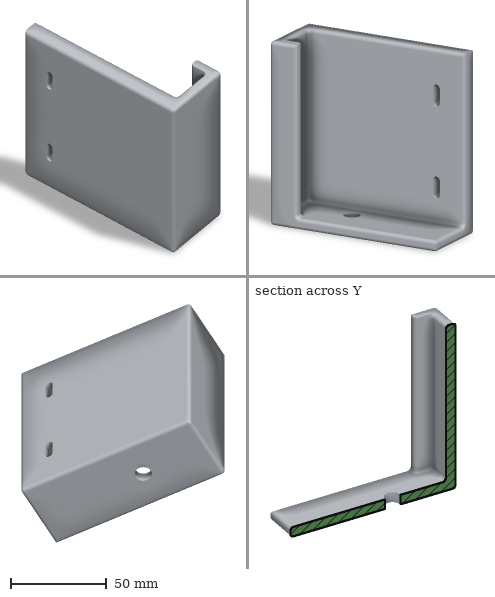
import cadquery as cq
length = 100.0
depth = 40.0
height = 100.0

plate_thickness = 10.0
wall_thickness = 6.0
lip_width = 16.0

edge_radius = 2.0

hole_diameter = 9.0
hole_x = 62.0
hole_y = depth / 2

slot_width = 4.0
slot_length = 12.0
slot_x = 17.0
slot_heights = (height / 4, 3 * height / 4)

plate_face_y = plate_thickness
floor_face_z = wall_thickness
wall_face_x = length - wall_thickness
lip_face_y = depth - wall_thickness
lip_end_x = length - lip_width

middle_x = wall_face_x / 2
middle_y = (plate_face_y + lip_face_y) / 2
middle_z = (floor_face_z + height) / 2

plate_to_wall = (wall_face_x, plate_face_y, middle_z)
wall_to_lip = (wall_face_x, lip_face_y, middle_z)
lip_corner = (lip_end_x, lip_face_y, middle_z)

plate_to_floor = (middle_x, plate_face_y, floor_face_z)

plate_top_rim = (middle_x, plate_face_y, height)
wall_top_rim = (wall_face_x, middle_y, height)
left_rim = (0, plate_face_y, middle_z)
back_rim = (lip_end_x, depth, middle_z)


def make_block():
    return cq.Workplane("XY").box(length, depth, height, centered=False)


def make_cavity():
    """Space inside the tray, open at the left, top and back, stepping in around the lip."""
    return (
        cq.Workplane("XY", origin=(0, 0, floor_face_z))
        .moveTo(0, plate_face_y)
        .lineTo(wall_face_x, plate_face_y)
        .lineTo(wall_face_x, lip_face_y)
        .lineTo(lip_end_x, lip_face_y)
        .lineTo(lip_end_x, depth)
        .lineTo(0, depth)
        .close()
        .extrude(height - floor_face_z)
    )


def round_edges(body, points):
    """Round the edges whose centres are nearest the points, with the edges that run on smoothly."""
    edges = [body.edges(cq.selectors.NearestToPointSelector(point)).val() for point in points]
    return body.newObject(edges).fillet(edge_radius)


def make_tray():
    """Tray with rounded inside corners, top rims and back rim; the lip keeps a sharp top,
    so the corner beside it is rounded only after the top rims."""
    body = make_block().cut(make_cavity())
    body = round_edges(body, [plate_to_wall, lip_corner])
    body = round_edges(body, [plate_top_rim, wall_top_rim])
    body = round_edges(body, [wall_to_lip])
    body = round_edges(body, [plate_to_floor])
    return round_edges(body, [back_rim])


def round_left_rim(body):
    """Round the rim along the plate and the floor at the left, leaving the plate's top edge sharp.

    The rim is rounded on a block that is hollow only in its left half, and the body is
    trimmed to that block.
    """
    hollow = cq.Workplane("XY").box(length / 2, depth, height, centered=False)
    hollow = hollow.translate((0, plate_face_y, floor_face_z))
    envelope = make_block().cut(hollow)
    envelope = round_edges(envelope, [(length / 4, plate_face_y, floor_face_z)])
    envelope = round_edges(envelope, [left_rim])
    return body.intersect(envelope)


def round_outside(body):
    """Round the outer edges, except where the left side meets the open top and back."""
    rounded_block = make_block().edges("<Y or <Z or >X or (>Y and >Z)").fillet(edge_radius)
    return body.intersect(rounded_block)


def drill_floor(body):
    hole = cq.Workplane("XY").center(hole_x, hole_y).circle(hole_diameter / 2).extrude(wall_thickness)
    return body.cut(hole)


def cut_slots(body):
    slots = (
        cq.Workplane("XZ")
        .pushPoints([(slot_x, slot_z) for slot_z in slot_heights])
        .slot2D(slot_length, slot_width, angle=90)
        .extrude(-plate_thickness)
    )
    return body.cut(slots)


tray = make_tray()
tray = round_left_rim(tray)
tray = round_outside(tray)
tray = drill_floor(tray)
result = cut_slots(tray).solids()